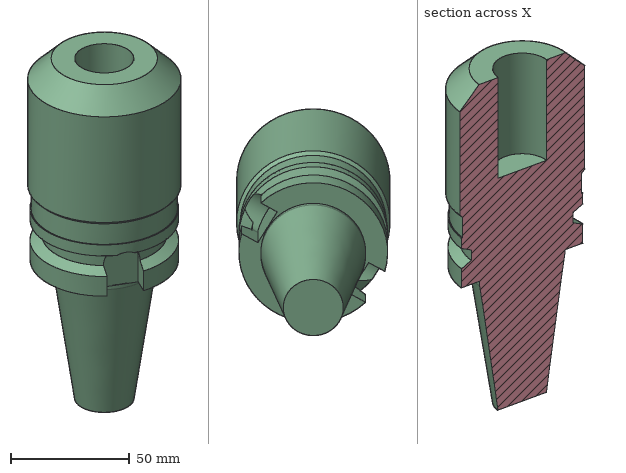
import cadquery as cq


gauge_diameter = 44.45
taper_length = 65.4
taper_ratio = 7 / 24
taper_end_diameter = gauge_diameter - taper_length * taper_ratio

flange_diameter = 63.0
flange_bottom = 2.0
flange_top = 27.0
groove_diameter = 53.0
groove_center = 16.6
groove_mouth_width = 10.0
groove_floor_width = 5.0
groove_mouth_bottom = groove_center - groove_mouth_width / 2
groove_mouth_top = groove_center + groove_mouth_width / 2
groove_floor_bottom = groove_center - groove_floor_width / 2
groove_floor_top = groove_center + groove_floor_width / 2

neck_diameter = 62.0
body_diameter = 65.0
body_bottom = 37.0
body_top = 100.0
body_lower_chamfer = (body_diameter - neck_diameter) / 2
nose_diameter = 45.0
nose_chamfer = (body_diameter - nose_diameter) / 2

bore_diameter = 25.0
bore_depth = 2 * bore_diameter

slot_width = 16.1
slot_top = 22.65
slot_floor_distance = 22.5
slot_radius = slot_width / 2
slot_arc_center = slot_top - slot_radius


def make_turned_body():
    """Revolve the half profile (radius, height) about the Z axis."""
    flange_radius = flange_diameter / 2
    groove_radius = groove_diameter / 2
    body_radius = body_diameter / 2
    profile = [
        (0, -taper_length),
        (taper_end_diameter / 2, -taper_length),
        (gauge_diameter / 2, 0),
        (gauge_diameter / 2, flange_bottom),
        (flange_radius, flange_bottom),
        (flange_radius, groove_mouth_bottom),
        (groove_radius, groove_floor_bottom),
        (groove_radius, groove_floor_top),
        (flange_radius, groove_mouth_top),
        (flange_radius, flange_top),
        (neck_diameter / 2, flange_top),
        (neck_diameter / 2, body_bottom),
        (body_radius, body_bottom + body_lower_chamfer),
        (body_radius, body_top - nose_chamfer),
        (nose_diameter / 2, body_top),
        (0, body_top),
    ]
    return cq.Workplane("XZ").polyline(profile).close().revolve(360, (0, 0, 0), (0, 1, 0))


def make_tool_bore():
    """Blind cylinder sunk from the nose face."""
    return cq.Workplane("XY").workplane(offset=body_top).circle(bore_diameter / 2).extrude(-bore_depth)


def make_drive_slot():
    """Cutter for the drive slot on the +X side."""
    return (
        cq.Workplane("YZ")
        .workplane(offset=slot_floor_distance)
        .moveTo(-slot_radius, flange_bottom)
        .lineTo(slot_radius, flange_bottom)
        .lineTo(slot_radius, slot_arc_center)
        .threePointArc((0, slot_top), (-slot_radius, slot_arc_center))
        .close()
        .extrude(body_diameter / 2)
    )


result = make_turned_body().cut(make_tool_bore())
for slot_angle in (0, 180):
    result = result.cut(make_drive_slot().rotate((0, 0, 0), (0, 0, 1), slot_angle))